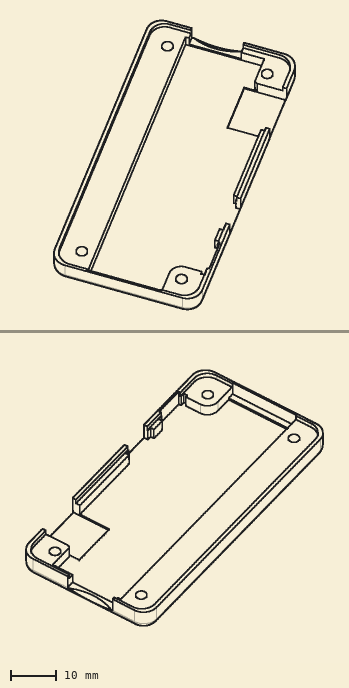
import cadquery as cq
import math

length = 69.0
width = 34.0
height = 5.5
corner_radius = 3.45
bottom_round = 2.0
overshoot = 0.7

floor_z = 1.5
connector_floor_z = 1.1
card_floor_z = 2.0
ledge_z = 4.35

side_lip = 0.9
end_lip = 0.6
board_width = width - 2 * side_lip
board_length = length - 2 * end_lip
board_corner_radius = 3.45

hole_diameter = 2.5
hole_spacing_x = 23.0
hole_spacing_y = 57.95
boss_offset = 3.05
boss_end_offset = 3.3
boss_radius = 2.75

well_left = -8.55
well_right = 15.05
well_end = 32.6
card_bay_right = 9.6
end_notch_wall = 0.4

slot_center_x = -1.7
slot_width = 12.0
scoop_rim_radius = 13.45
scoop_rim_y = 33.25
scoop_center_height = 17.25

large_connector_y = 20.15
large_connector_width = 11.4
large_connector_left = 7.25
small_connector_ys = (-8.9, -21.5)
small_opening_width = 7.3
small_body_width = 9.45
small_body_right = 15.95
thin_wall_inner_x = 16.55

hole_x = hole_spacing_x / 2
hole_y = hole_spacing_y / 2


def block(x_min, x_max, y_min, y_max, z_min):
    """Box between the given sides, reaching from z_min to above the tray."""
    return cq.Workplane("XY").box(
        x_max - x_min, y_max - y_min, height + overshoot - z_min, centered=False
    ).translate((x_min, y_min, z_min))


def outer_body():
    body = cq.Workplane("XY").box(width, length, height, centered=(True, True, False))
    return body.edges("|Z").fillet(corner_radius).faces("<Z").edges().fillet(bottom_round)


def board_recess():
    recess = block(-board_width / 2, board_width / 2, -board_length / 2, board_length / 2, ledge_z)
    return recess.edges("|Z").fillet(board_corner_radius)


def boss(side_y):
    """Corner block left standing around a +X screw hole; side_y is +1 or -1."""
    inner_y = side_y * (hole_y - boss_end_offset)
    outer_y = side_y * length / 2
    left = hole_x - boss_offset
    solid = block(left, width / 2, min(inner_y, outer_y), max(inner_y, outer_y), 0)
    inner_edge = "<Y" if side_y > 0 else ">Y"
    return solid.edges("|Z").edges("<X").edges(inner_edge).fillet(boss_radius)


def main_well():
    well = block(well_left, well_right, -well_end, well_end, floor_z)
    well = well.cut(boss(1)).cut(boss(-1))
    card_bay = block(well_left, card_bay_right, 0, well_end, floor_z)
    end_notch = block(well_left, hole_x - boss_offset, end_notch_wall - length / 2, 0, card_floor_z)
    return well.union(card_bay).union(end_notch)


def card_slot():
    half = slot_width / 2
    return block(slot_center_x - half, slot_center_x + half, 0, length / 2 + overshoot, card_floor_z)


def finger_scoop():
    """Part of a sphere below the card slot floor, meeting it in a circle of the rim radius."""
    center = (slot_center_x, scoop_rim_y + scoop_rim_radius, card_floor_z + scoop_center_height)
    ball_radius = math.hypot(scoop_rim_radius, scoop_center_height)
    ball = cq.Workplane("XY").sphere(ball_radius).translate(center)
    return ball.cut(block(-width, width, 0, 2 * length, card_floor_z))


def large_connector():
    half = large_connector_width / 2
    return block(
        large_connector_left,
        width / 2 + overshoot,
        large_connector_y - half,
        large_connector_y + half,
        connector_floor_z,
    )


def small_connector(center_y, opening_right):
    """Connector body recess plus a narrower opening that ends at opening_right."""
    half_body = small_body_width / 2
    half_opening = small_opening_width / 2
    body = block(well_right, small_body_right, center_y - half_body, center_y + half_body, floor_z)
    opening = block(well_right, opening_right, center_y - half_opening, center_y + half_opening, floor_z)
    return body.union(opening)


result = outer_body().cut(board_recess()).cut(main_well()).cut(card_slot()).cut(finger_scoop())
result = result.cut(large_connector())
opening_rights = (width / 2 + overshoot, thin_wall_inner_x)
for connector_y, opening_right in zip(small_connector_ys, opening_rights):
    result = result.cut(small_connector(connector_y, opening_right))
holes = cq.Workplane("XY").rect(hole_spacing_x, hole_spacing_y, forConstruction=True)
result = result.cut(holes.vertices().circle(hole_diameter / 2).extrude(height))